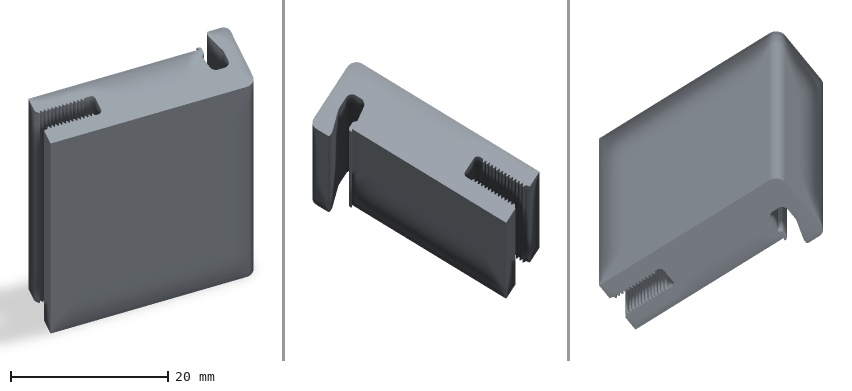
import cadquery as cq
import math

WIDTH = 10.35
DEPTH = 28.0
LENGTH = 37.5

PLATE_FACE_X = 2.4
LIP_CORNER_RADIUS = 0.98
BACK_CORNER_RADIUS = 1.42

LIP_END_Y = DEPTH - 2.95
LIP_FLAT = 0.68
LIP_EDGE_RADIUS = 0.25
LIP_BLEND_RADIUS = 0.95
ROOF_Y = DEPTH - 2.02
ROOF_START_X = 3.7
ROOF_BLEND_RADIUS = 1.12
GROOVE_END_X = 6.38
GROOVE_END_RADIUS = 0.9
FLOOR_LOW_X = 3.65
FLOOR_LOW_Y = DEPTH - 4.88
FLOOR_SLOPE = math.radians(8)

NUB_X = 2.02
NUB_TOP_Y = DEPTH - 4.45
NUB_TOP_END_X = FLOOR_LOW_X - (NUB_TOP_Y - FLOOR_LOW_Y)
NUB_TIP_Y = DEPTH - 5.02
NUB_ROOT_Y = DEPTH - 4.88
NUB_RADIUS = 0.38

SLOT_LEFT_X = 4.8
SLOT_RIGHT_X = 7.95
SLOT_DEPTH = 8.0
SLOT_LEFT_RADIUS = 0.5
SLOT_RIGHT_RADIUS = 0.6
MOUTH_LEFT_X = 4.58
MOUTH_RIGHT_X = 8.02
TOOTH_COUNT = 13
TOOTH_PITCH = 1.5 / 3
LEFT_TIP_X = 5.1
RIGHT_TIP_X = 7.58
TOOTH_FLAT = 0.1
LEFT_FIRST_TIP_Y = 0.5
RIGHT_FIRST_TIP_Y = LEFT_FIRST_TIP_Y + TOOTH_PITCH / 2


def round_edge(body, x, y, radius):
    """Fillet the long edge of the extrusion that passes through (x, y)."""
    edge = cq.selectors.NearestToPointSelector((x, y, LENGTH / 2))
    return body.edges("|Z").edges(edge).fillet(radius)


def hook_plate():
    """Plate with the hook groove, without the toothed slot."""
    floor_end_y = FLOOR_LOW_Y + (GROOVE_END_X - FLOOR_LOW_X) * math.tan(FLOOR_SLOPE)
    outline = [
        (PLATE_FACE_X, 0),
        (WIDTH, 0),
        (WIDTH, DEPTH),
        (0, DEPTH),
        (0, LIP_END_Y),
        (LIP_FLAT, LIP_END_Y),
        (ROOF_START_X, ROOF_Y),
        (GROOVE_END_X, ROOF_Y),
        (GROOVE_END_X, floor_end_y),
        (FLOOR_LOW_X, FLOOR_LOW_Y),
        (NUB_TOP_END_X, NUB_TOP_Y),
        (NUB_X, NUB_TOP_Y),
        (NUB_X, NUB_TIP_Y),
        (PLATE_FACE_X, NUB_ROOT_Y),
    ]
    rounded_corners = [
        (WIDTH, DEPTH, BACK_CORNER_RADIUS),
        (0, DEPTH, LIP_CORNER_RADIUS),
        (0, LIP_END_Y, LIP_EDGE_RADIUS),
        (LIP_FLAT, LIP_END_Y, LIP_BLEND_RADIUS),
        (ROOF_START_X, ROOF_Y, ROOF_BLEND_RADIUS),
        (GROOVE_END_X, ROOF_Y, GROOVE_END_RADIUS),
        (GROOVE_END_X, floor_end_y, GROOVE_END_RADIUS),
        (NUB_X, NUB_TOP_Y, NUB_RADIUS),
    ]
    body = cq.Workplane("XY").polyline(outline).close().extrude(LENGTH)
    for x, y, radius in rounded_corners:
        body = round_edge(body, x, y, radius)
    return body


def tooth_row(root_x, tip_x, first_tip_y):
    """Flat-topped teeth, from the first tip up to the start of the wall above the last tip."""
    points = []
    for tooth in range(TOOTH_COUNT):
        tip_y = first_tip_y + tooth * TOOTH_PITCH
        points.append((tip_x, tip_y - TOOTH_FLAT / 2))
        points.append((tip_x, tip_y + TOOTH_FLAT / 2))
        root_y = tip_y + TOOTH_PITCH / 2
        points.append((root_x, root_y - TOOTH_FLAT / 2))
        points.append((root_x, root_y + TOOTH_FLAT / 2))
    return points[:-1]


def toothed_slot():
    """Slot volume whose side walls carry two rows of teeth, staggered by half a pitch."""
    left_row = tooth_row(SLOT_LEFT_X, LEFT_TIP_X, LEFT_FIRST_TIP_Y)
    right_row = tooth_row(SLOT_RIGHT_X, RIGHT_TIP_X, RIGHT_FIRST_TIP_Y)
    right_first_root = (SLOT_RIGHT_X, RIGHT_FIRST_TIP_Y - TOOTH_PITCH / 2)
    outline = [(MOUTH_LEFT_X, 0)]
    outline += left_row
    outline += [(SLOT_LEFT_X, SLOT_DEPTH), (SLOT_RIGHT_X, SLOT_DEPTH)]
    outline += reversed(right_row)
    outline += [right_first_root, (MOUTH_RIGHT_X, 0)]
    slot = cq.Workplane("XY").polyline(outline).close().extrude(LENGTH)
    slot = round_edge(slot, SLOT_LEFT_X, SLOT_DEPTH, SLOT_LEFT_RADIUS)
    return round_edge(slot, SLOT_RIGHT_X, SLOT_DEPTH, SLOT_RIGHT_RADIUS)


result = hook_plate().cut(toothed_slot())